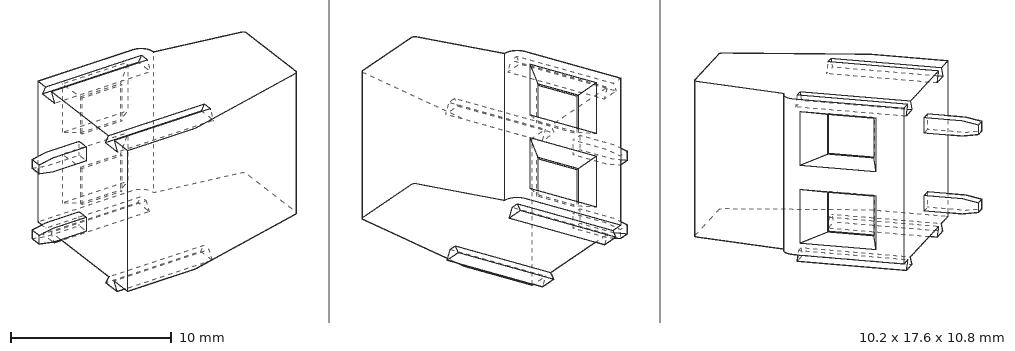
import cadquery as cq


TOTAL_LENGTH = 17.6
POLE_COUNT = 2
HOUSING_WIDTH = 10.2
HOUSING_HEIGHT = 10.15
POLE_PITCH = HOUSING_HEIGHT / POLE_COUNT
PIN_LENGTH = 3.5
HOUSING_LENGTH = TOTAL_LENGTH - PIN_LENGTH
LEFT_X = -HOUSING_WIDTH / 2
RIGHT_X = HOUSING_WIDTH / 2

BACK_LEFT_X = LEFT_X + 1.92
BACK_RIGHT_X = LEFT_X + 7.94
BACK_EDGE_RADIUS = 0.25
RIGHT_SLOPE_START = 5.02
SHOULDER_START = 7.05
SHOULDER_RADIUS = 0.93

RIDGE_NECK_WIDTH = 0.6
RIDGE_BASE_WIDTH = 1.3
RIDGE_HEIGHT = 0.6
DOVETAIL_CLEARANCE = 0.07
DOVETAIL_SPACING = 7.15
FIRST_DOVETAIL_X = LEFT_X + 1.21
DOVETAIL_CENTERS = (FIRST_DOVETAIL_X, FIRST_DOVETAIL_X + DOVETAIL_SPACING)

MOUTH_LENGTH = 4.9
MOUTH_HEIGHT = 3.5
MOUTH_START = 1.81
THROAT_LENGTH = 2.97
THROAT_HEIGHT = 2.59
THROAT_START = 2.3
FUNNEL_DEPTH = 1.3
THROAT_DEPTH = 0.18

PIN_WIDTH = 0.81
PIN_HEIGHT = 1.0
PIN_TIP_HEIGHT = 0.63
PIN_TAPER_LENGTH = 1.04


def pole_height(pole):
    """Z of the middle of one pole."""
    return (pole + 0.5) * POLE_PITCH


def make_housing_block():
    """Extruded outline with a rounded left shoulder, sloped sides and rounded back edges."""
    block = (
        cq.Workplane("XY")
        .moveTo(LEFT_X, 0)
        .lineTo(RIGHT_X, 0)
        .lineTo(RIGHT_X, RIGHT_SLOPE_START)
        .lineTo(BACK_RIGHT_X, HOUSING_LENGTH)
        .lineTo(BACK_LEFT_X, HOUSING_LENGTH)
        .lineTo(LEFT_X + SHOULDER_RADIUS, SHOULDER_START + SHOULDER_RADIUS)
        .radiusArc((LEFT_X, SHOULDER_START), -SHOULDER_RADIUS)
        .close()
        .extrude(HOUSING_HEIGHT)
    )
    return block.faces(">Y").edges("|Z").fillet(BACK_EDGE_RADIUS)


def make_dovetail(center_x, top_z, neck_width, base_width, height, length):
    """Dovetail bar along Y from the solder face, hanging below top_z and wider at its foot."""
    return (
        cq.Workplane("XZ", origin=(center_x, 0, top_z))
        .moveTo(-neck_width / 2, 0)
        .lineTo(neck_width / 2, 0)
        .lineTo(base_width / 2, -height)
        .lineTo(-base_width / 2, -height)
        .close()
        .extrude(-length)
    )


def make_ridge(center_x):
    return make_dovetail(
        center_x, 0, RIDGE_NECK_WIDTH, RIDGE_BASE_WIDTH, RIDGE_HEIGHT, SHOULDER_START
    )


def make_groove_cutter(center_x):
    """The ridge shape enlarged by the sliding clearance, at the top of the housing."""
    return make_dovetail(
        center_x,
        HOUSING_HEIGHT,
        RIDGE_NECK_WIDTH + DOVETAIL_CLEARANCE,
        RIDGE_BASE_WIDTH + DOVETAIL_CLEARANCE,
        RIDGE_HEIGHT + DOVETAIL_CLEARANCE,
        SHOULDER_START + DOVETAIL_CLEARANCE,
    )


def make_wire_entry_cutter(center_z):
    """Funnel from the left wall down to the throat, plus the straight throat recess."""
    mouth_center_y = MOUTH_START + MOUTH_LENGTH / 2
    throat_center_y = THROAT_START + THROAT_LENGTH / 2
    funnel = (
        cq.Workplane("YZ", origin=(LEFT_X, mouth_center_y, center_z))
        .rect(MOUTH_LENGTH, MOUTH_HEIGHT)
        .workplane(offset=FUNNEL_DEPTH)
        .center(throat_center_y - mouth_center_y, 0)
        .rect(THROAT_LENGTH, THROAT_HEIGHT)
        .loft(ruled=True)
    )
    throat = (
        cq.Workplane("YZ", origin=(LEFT_X + FUNNEL_DEPTH, throat_center_y, center_z))
        .rect(THROAT_LENGTH, THROAT_HEIGHT)
        .extrude(THROAT_DEPTH)
    )
    return funnel.union(throat)


def make_housing():
    housing = make_housing_block()
    for center_x in DOVETAIL_CENTERS:
        housing = housing.union(make_ridge(center_x))
        housing = housing.cut(make_groove_cutter(center_x))
    for pole in range(POLE_COUNT):
        housing = housing.cut(make_wire_entry_cutter(pole_height(pole)))
    return housing


def make_pin(center_z):
    """Flat-sided pin from the solder face towards -Y, tapered in height at its tip."""
    taper_y = PIN_TAPER_LENGTH - PIN_LENGTH
    return (
        cq.Workplane("YZ", origin=(0, 0, center_z))
        .moveTo(0, -PIN_HEIGHT / 2)
        .lineTo(0, PIN_HEIGHT / 2)
        .lineTo(taper_y, PIN_HEIGHT / 2)
        .lineTo(-PIN_LENGTH, PIN_TIP_HEIGHT / 2)
        .lineTo(-PIN_LENGTH, -PIN_TIP_HEIGHT / 2)
        .lineTo(taper_y, -PIN_HEIGHT / 2)
        .close()
        .extrude(PIN_WIDTH / 2, both=True)
    )


housing = make_housing()
pins = [make_pin(pole_height(pole)).val() for pole in range(POLE_COUNT)]

result = cq.Compound.makeCompound([housing.val(), *pins])